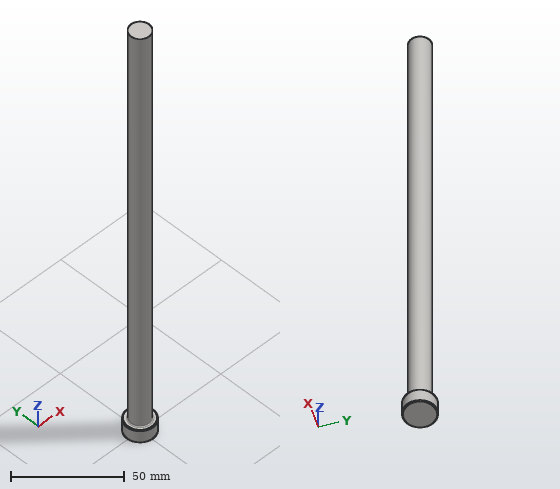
import cadquery as cq
import math

TOTAL_LENGTH = 250.0
HEAD_DIAMETER = 16.0
HEAD_HEIGHT = 8.0
SHANK_DIAMETER = 11.0
HEAD_CHAMFER = 0.5
ROOT_FILLET = 0.5

head_radius = HEAD_DIAMETER / 2
shank_radius = SHANK_DIAMETER / 2



def make_half_profile():
    """Closed outline of one side of the pin in the XZ plane, from the axis out to -X."""
    arc_inset = ROOT_FILLET * (1 - math.sqrt(0.5))
    return (
        cq.Workplane("XZ")
        .lineTo(-head_radius + HEAD_CHAMFER, 0)
        .lineTo(-head_radius, HEAD_CHAMFER)
        .lineTo(-head_radius, HEAD_HEIGHT - HEAD_CHAMFER)
        .lineTo(-head_radius + HEAD_CHAMFER, HEAD_HEIGHT)
        .lineTo(-shank_radius - ROOT_FILLET, HEAD_HEIGHT)
        .threePointArc(
            (-shank_radius - arc_inset, HEAD_HEIGHT + arc_inset),
            (-shank_radius, HEAD_HEIGHT + ROOT_FILLET),
        )
        .lineTo(-shank_radius, TOTAL_LENGTH)
        .lineTo(0, TOTAL_LENGTH)
        .close()
    )


def make_pin():
    """Headed pin: the half profile turned fully about the Z axis."""
    axis_start = (0, 0, 0)
    axis_end = (0, 1, 0)
    return make_half_profile().revolve(360, axis_start, axis_end)


result = make_pin()